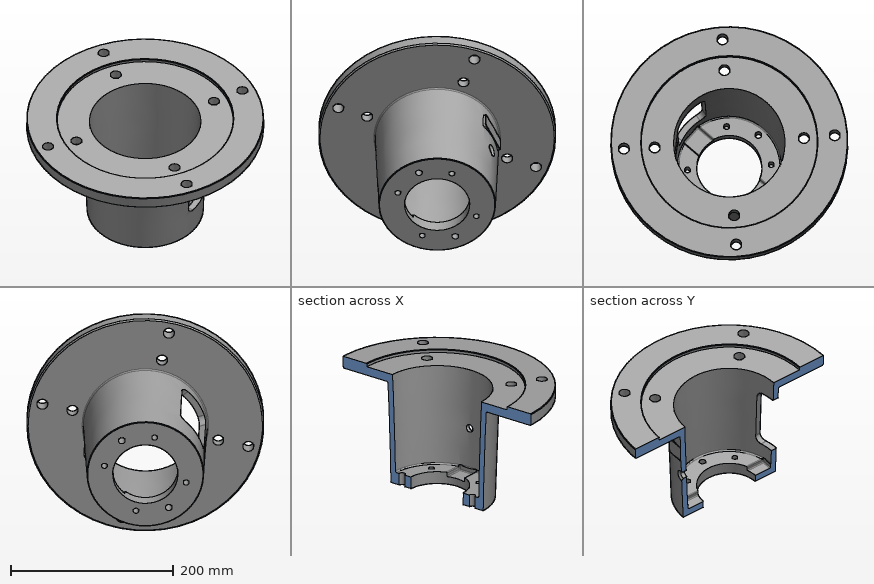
import cadquery as cq
import math

FLANGE_DIAMETER = 292.0
TOTAL_HEIGHT = 150.7
FLANGE_THICKNESS = 16.5
FLANGE_TOP_CHAMFER = 1.0
FLANGE_BOTTOM_CHAMFER = 1.8
BODY_TOP_RADIUS = 76.5
DRAFT_ANGLE = 2.0
BODY_BOTTOM_CHAMFER = 1.0
NECK_FILLET = 1.5

PILOT_RADIUS = 108.5
PILOT_DEPTH = 4.5
PILOT_CHAMFER = 1.0
CAVITY_TOP_RADIUS = 68.5
CAVITY_FLOOR_FILLET = 1.8
FLOOR_THICKNESS = 16.0
BORE_DIAMETER = 80.3

FLANGE_HOLE_DIAMETER = 13.5
INNER_BOLT_OFFSET = 65.0
OUTER_BOLT_OFFSET = 92.0
FLOOR_HOLE_DIAMETER = 7.0
FLOOR_HOLE_OFFSET = 36.5
DOWEL_HOLE_DIAMETER = 8.2
DOWEL_HOLE_OFFSET = 54.3

CHANNEL_LENGTH = 126.8
CHANNEL_WIDTH = 27.0
CHANNEL_DEPTH = 5.8
CHANNEL_FILLET = 1.2

WINDOW_OUTER_WIDTH = 54.3
WINDOW_INNER_WIDTH = 50.8
WINDOW_BOTTOM = 37.7
WINDOW_TOP = 117.5
WINDOW_CORNER_RADIUS = 8.8

SIDE_HOLE_DIAMETER = 9.5
SIDE_HOLE_MOUTH_DIAMETER = 15.5
SIDE_HOLE_HEIGHT = 69.0
PAD_WIDTH = 44.5
PAD_HEIGHT = 22.2
PAD_CENTER_HEIGHT = 105.5
PAD_FACE_DISTANCE = 76.0
PAD_CORNER_RADIUS = 3.0
PAD_EDGE_CHAMFER = 0.5

FLANGE_BOTTOM = TOTAL_HEIGHT - FLANGE_THICKNESS
PILOT_FLOOR = TOTAL_HEIGHT - PILOT_DEPTH
DRAFT_SLOPE = math.tan(math.radians(DRAFT_ANGLE))


def wall_radius(top_radius, top, height):
    """Radius at a height on a wall that narrows downward at the draft angle."""
    return top_radius - (top - height) * DRAFT_SLOPE


BODY_BOTTOM_RADIUS = wall_radius(BODY_TOP_RADIUS, FLANGE_BOTTOM, 0)
CAVITY_FLOOR_RADIUS = wall_radius(CAVITY_TOP_RADIUS, PILOT_FLOOR, FLOOR_THICKNESS)


def cone(bottom_radius, top_radius, bottom, top):
    """Solid frustum about the Z axis; equal radii give a cylinder."""
    profile = [(0, bottom), (bottom_radius, bottom), (top_radius, top), (0, top)]
    return cq.Workplane("XZ").polyline(profile).close().revolve(360, (0, 0), (0, 1))


def make_outer_body():
    flange = (
        cq.Workplane("XY", origin=(0, 0, FLANGE_BOTTOM))
        .circle(FLANGE_DIAMETER / 2)
        .extrude(FLANGE_THICKNESS)
        .faces(">Z").chamfer(FLANGE_TOP_CHAMFER)
        .faces("<Z").chamfer(FLANGE_BOTTOM_CHAMFER)
    )
    barrel = cone(BODY_BOTTOM_RADIUS, BODY_TOP_RADIUS, 0, FLANGE_BOTTOM)
    barrel = barrel.faces("<Z").chamfer(BODY_BOTTOM_CHAMFER)
    reach = BODY_TOP_RADIUS + NECK_FILLET
    neck = cq.selectors.BoxSelector(
        (-reach, -reach, FLANGE_BOTTOM - NECK_FILLET),
        (reach, reach, FLANGE_BOTTOM + NECK_FILLET),
        boundingbox=True,
    )
    return flange.union(barrel).edges(neck).fillet(NECK_FILLET)


def make_pad():
    return (
        cq.Workplane("YZ", origin=(-PAD_FACE_DISTANCE, 0, PAD_CENTER_HEIGHT))
        .rect(PAD_WIDTH, PAD_HEIGHT)
        .extrude(PAD_FACE_DISTANCE)
        .edges("|X").fillet(PAD_CORNER_RADIUS)
        .faces("<X").chamfer(PAD_EDGE_CHAMFER)
    )


def make_pilot_recess():
    recess = cone(PILOT_RADIUS, PILOT_RADIUS, PILOT_FLOOR, TOTAL_HEIGHT)
    mouth = cone(
        PILOT_RADIUS - PILOT_CHAMFER, PILOT_RADIUS + PILOT_CHAMFER,
        TOTAL_HEIGHT - 2 * PILOT_CHAMFER, TOTAL_HEIGHT,
    )
    return recess.union(mouth)


def make_cavity():
    cavity = cone(CAVITY_FLOOR_RADIUS, CAVITY_TOP_RADIUS, FLOOR_THICKNESS, PILOT_FLOOR)
    return cavity.faces("<Z").edges().fillet(CAVITY_FLOOR_FILLET)


def make_channel():
    trough = (
        cq.Workplane("XY", origin=(0, 0, FLOOR_THICKNESS - CHANNEL_DEPTH))
        .rect(CHANNEL_LENGTH, CHANNEL_WIDTH)
        .extrude(CHANNEL_DEPTH + CAVITY_FLOOR_FILLET)
        .edges("|Z or <Z").fillet(CHANNEL_FILLET)
    )
    wall = CHANNEL_WIDTH / 2
    lip = wall + CHANNEL_FILLET
    flare_bottom = FLOOR_THICKNESS - CHANNEL_FILLET
    bulge = CHANNEL_FILLET * math.sin(math.radians(45))
    flare = (
        cq.Workplane("YZ")
        .moveTo(-wall, flare_bottom)
        .lineTo(wall, flare_bottom)
        .threePointArc((lip - bulge, flare_bottom + bulge), (lip, FLOOR_THICKNESS))
        .lineTo(-lip, FLOOR_THICKNESS)
        .threePointArc((bulge - lip, flare_bottom + bulge), (-wall, flare_bottom))
        .close()
        .extrude(CHANNEL_LENGTH / 2 - CHANNEL_FILLET, both=True)
    )
    return trough.union(flare)


def vertical_holes(points, diameter):
    return cq.Workplane("XY").pushPoints(points).circle(diameter / 2).extrude(TOTAL_HEIGHT)


def square_pattern(offset):
    return [(x, y) for x in (-offset, offset) for y in (-offset, offset)]


def make_window():
    """Opening through the wall that narrows from the outside to the inside."""
    middle = (WINDOW_BOTTOM + WINDOW_TOP) / 2
    outer_half = WINDOW_OUTER_WIDTH / 2
    inner_half = WINDOW_INNER_WIDTH / 2
    outer_x = math.sqrt(wall_radius(BODY_TOP_RADIUS, FLANGE_BOTTOM, middle) ** 2 - outer_half**2)
    inner_x = math.sqrt(wall_radius(CAVITY_TOP_RADIUS, PILOT_FLOOR, middle) ** 2 - inner_half**2)
    side_slope = (outer_half - inner_half) / (outer_x - inner_x)
    near_x = inner_x - WINDOW_CORNER_RADIUS
    far_x = BODY_TOP_RADIUS + WINDOW_CORNER_RADIUS
    near_half = inner_half - (inner_x - near_x) * side_slope
    far_half = outer_half + (far_x - outer_x) * side_slope
    plan = [(near_x, -near_half), (far_x, -far_half), (far_x, far_half), (near_x, near_half)]
    opening = (
        cq.Workplane("XY", origin=(0, 0, WINDOW_BOTTOM))
        .polyline(plan).close()
        .extrude(WINDOW_TOP - WINDOW_BOTTOM)
    )
    long_edges = opening.faces("<Y or >Y").edges("(<Z or >Z) and (not |Y)")
    return opening.newObject(long_edges.vals()).fillet(WINDOW_CORNER_RADIUS)


def make_side_hole():
    """Drilled hole with a 45 degree countersink, both starting outside the wall."""
    face_x = wall_radius(BODY_TOP_RADIUS, FLANGE_BOTTOM, SIDE_HOLE_HEIGHT)
    sink_depth = (SIDE_HOLE_MOUTH_DIAMETER - SIDE_HOLE_DIAMETER) / 2
    drill_radius = SIDE_HOLE_DIAMETER / 2
    start_x = -face_x - sink_depth
    sink_radius = SIDE_HOLE_MOUTH_DIAMETER / 2 + sink_depth
    profile = [
        (start_x, 0),
        (start_x, sink_radius),
        (-face_x + sink_depth, drill_radius),
        (0, drill_radius),
        (0, 0),
    ]
    tool = cq.Workplane("XY").polyline(profile).close().revolve(360, (0, 0), (1, 0))
    return tool.translate((0, 0, SIDE_HOLE_HEIGHT))


result = make_outer_body().union(make_pad())
result = result.cut(make_pilot_recess()).cut(make_cavity()).cut(make_channel())
result = result.cut(vertical_holes([(0, 0)], BORE_DIAMETER))
for bolt_offset in (INNER_BOLT_OFFSET, OUTER_BOLT_OFFSET):
    result = result.cut(vertical_holes(square_pattern(bolt_offset), FLANGE_HOLE_DIAMETER))
result = result.cut(vertical_holes(square_pattern(FLOOR_HOLE_OFFSET), FLOOR_HOLE_DIAMETER))
dowel_points = [(0, -DOWEL_HOLE_OFFSET), (0, DOWEL_HOLE_OFFSET)]
result = result.cut(vertical_holes(dowel_points, DOWEL_HOLE_DIAMETER))
result = result.cut(make_window()).cut(make_side_hole())